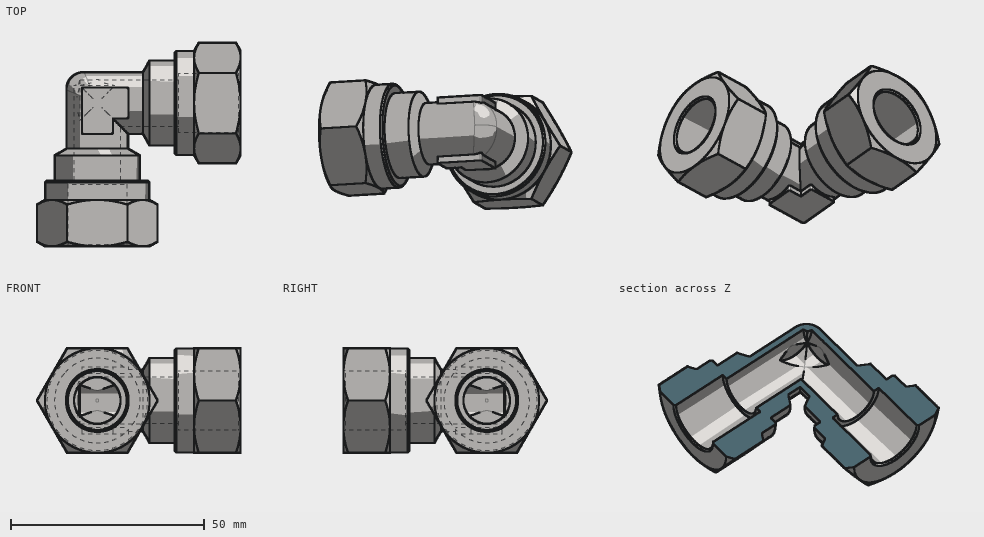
import cadquery as cq
import math

ARM_LENGTH = 36.97
NUT_LENGTH = 12.0
NUT_START = ARM_LENGTH - NUT_LENGTH
RING_LENGTH = 5.0
RING_START = NUT_START - RING_LENGTH
COLLAR_START = 13.5

PIPE_RADIUS = 8.0
COLLAR_RADIUS = 11.0
NUT_ACROSS_FLATS = 27.0
NUT_CORNER_RADIUS = NUT_ACROSS_FLATS / math.sqrt(3)
NUT_FACE_RADIUS = NUT_ACROSS_FLATS / 2
RING_RADIUS = 13.45
RING_CHAMFER = 0.5
CONE_ANGLE = math.radians(30)
CONE_START = COLLAR_START - (COLLAR_RADIUS - PIPE_RADIUS) * math.tan(CONE_ANGLE)
NUT_CHAMFER_LENGTH = (NUT_CORNER_RADIUS - NUT_FACE_RADIUS) * math.tan(CONE_ANGLE)
ELBOW_ROUND = 4.5
MITRE_OVERRUN = 2 * PIPE_RADIUS

BORE_RADIUS = 6.0
BORE_OVERRUN = 4.5
BORE_TIP_LENGTH = 1.6
SOCKET_RADIUS = 7.6
SOCKET_FLOOR = 21.0
SOCKET_CHAMFER = 0.5

FLAT_HEIGHT = 8.6
FLAT_OUTER = 4.0
FLAT_REACH = 8.0
FLAT_LEG = 4.0
FLAT_CORNER_ROUND = 0.4


def revolve_about_x(points):
    return cq.Workplane("XY").polyline(points).close().revolve(360, (0, 0, 0), (1, 0, 0))


def second_arm(shape):
    """Turn a shape on the +X arm onto the -Y arm."""
    return shape.rotate((0, 0, 0), (0, 0, 1), -90)


def make_nut():
    """Hexagon nut on the +X arm, with both ends chamfered."""
    hexagon = (
        cq.Workplane("YZ")
        .workplane(offset=NUT_START)
        .polygon(6, 2 * NUT_CORNER_RADIUS)
        .extrude(NUT_LENGTH)
    )
    chamfer_envelope = revolve_about_x(
        [
            (NUT_START, 0),
            (NUT_START, NUT_FACE_RADIUS),
            (NUT_START + NUT_CHAMFER_LENGTH, NUT_CORNER_RADIUS),
            (ARM_LENGTH - NUT_CHAMFER_LENGTH, NUT_CORNER_RADIUS),
            (ARM_LENGTH, NUT_FACE_RADIUS),
            (ARM_LENGTH, 0),
        ]
    )
    return hexagon.intersect(chamfer_envelope)


def make_arm():
    """Solid +X arm, cut at 45 degrees through the elbow centre to meet the other arm."""
    turned = revolve_about_x(
        [
            (-MITRE_OVERRUN, 0),
            (-MITRE_OVERRUN, PIPE_RADIUS),
            (CONE_START, PIPE_RADIUS),
            (COLLAR_START, COLLAR_RADIUS),
            (RING_START, COLLAR_RADIUS),
            (RING_START, RING_RADIUS - RING_CHAMFER),
            (RING_START + RING_CHAMFER, RING_RADIUS),
            (NUT_START, RING_RADIUS),
            (NUT_START, 0),
        ]
    )
    beyond_mitre = (
        cq.Workplane("XY")
        .polyline(
            [
                (-MITRE_OVERRUN, -MITRE_OVERRUN),
                (-MITRE_OVERRUN, MITRE_OVERRUN),
                (MITRE_OVERRUN, -MITRE_OVERRUN),
            ]
        )
        .close()
        .extrude(MITRE_OVERRUN, both=True)
    )
    return turned.cut(beyond_mitre).union(make_nut())


def make_flats():
    """L-shaped block whose top and bottom faces are the wrench flats."""
    outline = [
        (-FLAT_OUTER, FLAT_OUTER),
        (FLAT_REACH, FLAT_OUTER),
        (FLAT_REACH, -FLAT_LEG),
        (FLAT_LEG, -FLAT_LEG),
        (FLAT_LEG, -FLAT_REACH),
        (-FLAT_OUTER, -FLAT_REACH),
    ]
    block = cq.Workplane("XY").polyline(outline).close().extrude(FLAT_HEIGHT, both=True)
    return block.edges("|Z").edges(">X or <X or <Y").fillet(FLAT_CORNER_ROUND)


def make_bore():
    """Bore with a conical bottom past the elbow centre and a tube socket at the mouth."""
    return revolve_about_x(
        [
            (-BORE_OVERRUN - BORE_TIP_LENGTH, 0),
            (-BORE_OVERRUN, BORE_RADIUS),
            (SOCKET_FLOOR, BORE_RADIUS),
            (SOCKET_FLOOR, SOCKET_RADIUS),
            (ARM_LENGTH - SOCKET_CHAMFER, SOCKET_RADIUS),
            (ARM_LENGTH, SOCKET_RADIUS + SOCKET_CHAMFER),
            (ARM_LENGTH, 0),
        ]
    )


def make_body():
    """Both arms and the flats, with the outer mitre edge between the flats rounded."""
    arm = make_arm()
    other_arm = second_arm(arm.mirror("XZ"))
    body = arm.union(other_arm).union(make_flats())
    outer_corner = cq.selectors.BoxSelector(
        (-PIPE_RADIUS, FLAT_OUTER, -PIPE_RADIUS),
        (-FLAT_OUTER, PIPE_RADIUS, PIPE_RADIUS),
    )
    return body.edges("%ELLIPSE").edges(outer_corner).fillet(ELBOW_ROUND)


bore = make_bore()
result = make_body().cut(bore).cut(second_arm(bore))